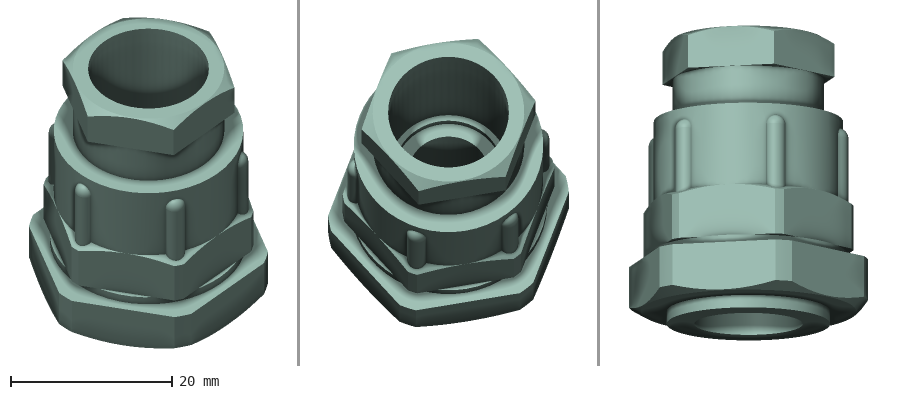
import cadquery as cq
import math


total_height = 35.8
locknut_bottom = 1.58
gasket_bottom = 7.65
body_bottom = 8.8
body_hex_top = 15.4
rib_dome_z = 22.9
body_top = 25.55
head_bottom = 30.75

hex_sides = 6
hex_half_angle = 180 / hex_sides
flats_to_corners = 1 / math.cos(math.radians(hex_half_angle))
head_flats = 18.97
body_flats = 23.5
body_corners = 26.45
locknut_flats = 27.0
locknut_corners = 30.0
head_corners = head_flats * flats_to_corners

chamfer_angle = 30.0
chamfer_circle_ratio = 0.99

shank_radius = head_flats * chamfer_circle_ratio / 2
barrel_radius = body_flats / 2
gasket_radius = 12.25
stem_radius = 10.13
screw_bore_radius = 7.5
clearance_radius = 6.73
seal_bore_radius = 5.0

first_rib_angle = 90
rib_radius = 1.3
rib_circle_radius = 11.4

seat_z = body_bottom
washer_thickness = 1.0
screw_bottom = 17.9
washer_bottom = screw_bottom - washer_thickness


def cylinder(radius, bottom, top):
    return cq.Workplane("XY").workplane(offset=bottom).circle(radius).extrude(top - bottom)


def ring(outer_radius, inner_radius, bottom, top):
    return cylinder(outer_radius, bottom, top).cut(cylinder(inner_radius, bottom, top))


def chamfered_hex(flats, corners, plain_end, chamfered_end):
    """Hexagon with corners toward +Y and -Y, turned to the corner size and coned at one end."""
    height = chamfered_end - plain_end
    prism = (
        cq.Workplane("XY")
        .workplane(offset=plain_end)
        .polygon(hex_sides, flats * flats_to_corners)
        .extrude(height)
        .rotate((0, 0, 0), (0, 0, 1), hex_half_angle)
    )
    corner_radius = corners / 2
    end_radius = flats * chamfer_circle_ratio / 2
    chamfer_height = (corner_radius - end_radius) * math.tan(math.radians(chamfer_angle))
    chamfer_start = chamfered_end - math.copysign(chamfer_height, height)
    turned_blank = (
        cq.Workplane("XZ")
        .moveTo(0, plain_end)
        .lineTo(corner_radius, plain_end)
        .lineTo(corner_radius, chamfer_start)
        .lineTo(end_radius, chamfered_end)
        .lineTo(0, chamfered_end)
        .close()
        .revolve(360, (0, 0, 0), (0, 1, 0))
    )
    return prism.intersect(turned_blank)


def make_rib(angle):
    """Round bar with a domed top, partly sunk in the barrel."""
    bar = cylinder(rib_radius, body_bottom, rib_dome_z)
    dome = cq.Workplane("XY").sphere(rib_radius).translate((0, 0, rib_dome_z))
    rib = bar.union(dome).translate((rib_circle_radius, 0, 0))
    return rib.rotate((0, 0, 0), (0, 0, 1), angle)


def make_screw():
    """Hollow clamping screw with a hexagon head."""
    head = chamfered_hex(head_flats, head_corners, head_bottom, total_height)
    shank = cylinder(shank_radius, screw_bottom, head_bottom)
    bore = cylinder(screw_bore_radius, screw_bottom, total_height)
    return head.union(shank).cut(bore)


def make_body():
    """Hexagon with a ribbed barrel above it and a stem below it."""
    body = chamfered_hex(body_flats, body_corners, body_bottom, body_hex_top)
    body = body.union(cylinder(barrel_radius, body_bottom, body_top))
    for index in range(hex_sides):
        body = body.union(make_rib(first_rib_angle + index * 360 / hex_sides))
    body = body.union(cylinder(stem_radius, 0, body_bottom))
    body = body.cut(cylinder(shank_radius, seat_z, body_top))
    return body.cut(cylinder(clearance_radius, 0, seat_z))


def make_locknut():
    """Hexagon nut on the stem, chamfered on its underside."""
    nut = chamfered_hex(locknut_flats, locknut_corners, gasket_bottom, locknut_bottom)
    return nut.cut(cylinder(stem_radius, locknut_bottom, gasket_bottom))


screw = make_screw()
body = make_body()
locknut = make_locknut()
gasket = ring(gasket_radius, stem_radius, gasket_bottom, body_bottom)
washer = ring(shank_radius, clearance_radius, washer_bottom, screw_bottom)
seal = ring(shank_radius, seal_bore_radius, seat_z, washer_bottom)

result = cq.Compound.makeCompound(
    [screw.val(), body.val(), locknut.val(), gasket.val(), washer.val(), seal.val()]
)